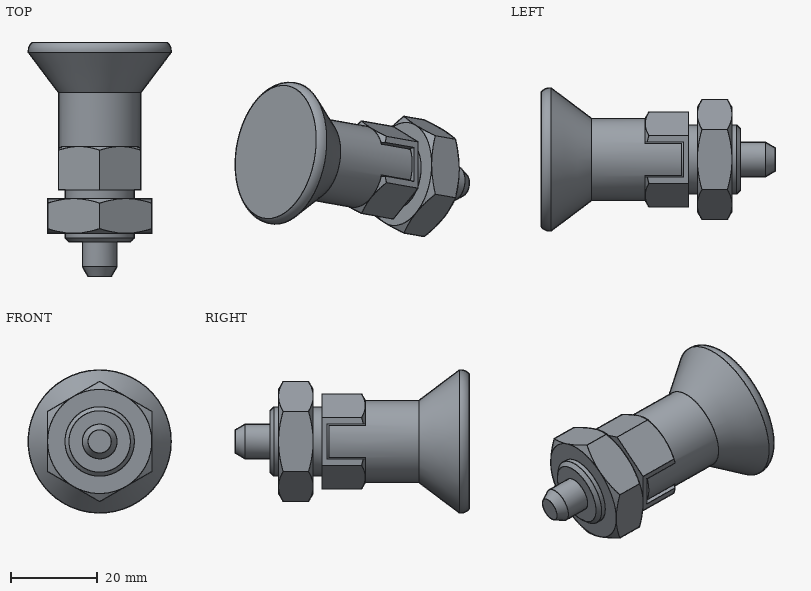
import cadquery as cq
import math


PIN_DIAMETER = 8.0
PIN_LENGTH = 8.0
PIN_TAPER_LENGTH = 2.3
PIN_TAPER_ANGLE = 30.0

SLEEVE_DIAMETER = 16.0
SLEEVE_LENGTH = 12.0
SLEEVE_CHAMFER = 0.92

NUT_ACROSS_FLATS = 24.0
NUT_HEIGHT = 8.0
NUT_START = 2.0

COLLAR_ACROSS_FLATS = 19.0
COLLAR_HEIGHT = 10.0
HEX_CHAMFER_ANGLE = 30.0
HEX_SIDES = 6
HEX_HALF_ANGLE = 180 / HEX_SIDES

SLOT_WIDTH = 8.0
SLOT_LENGTH = 8.8
TONGUE_SIDE_GAP = 0.35
TONGUE_END_GAP = 0.5

KNOB_DIAMETER = 33.0
BARREL_DIAMETER = COLLAR_ACROSS_FLATS
BARREL_LENGTH = 12.4
CONE_LENGTH = 9.3
RIM_BAND = 0.3
RIM_ROUND_HEIGHT = 2.0
RIM_ROUND_RADIUS = 2.5

COLLAR_START = SLEEVE_LENGTH
COLLAR_END = COLLAR_START + COLLAR_HEIGHT
BARREL_END = COLLAR_END + BARREL_LENGTH
CONE_END = BARREL_END + CONE_LENGTH


def along_y(start):
    """Workplane at Y = start whose extrusions run toward +Y."""
    return cq.Workplane(cq.Plane(origin=(0, start, 0), xDir=(1, 0, 0), normal=(0, 1, 0)))


def cylinder(diameter, start, length):
    return along_y(start).circle(diameter / 2).extrude(length)


def revolve_about_y(profile):
    return profile.close().revolve(360, (0, 0, 0), (0, 1, 0))


def chamfered_hexagon(across_flats, start, height, chamfer_start):
    """Hexagonal prism with flats facing +X and -X and conical corner chamfers."""
    flat_radius = across_flats / 2
    corner_radius = flat_radius / math.cos(math.radians(HEX_HALF_ANGLE))
    chamfer = (corner_radius - flat_radius) * math.tan(math.radians(HEX_CHAMFER_ANGLE))
    outline = along_y(start).transformed(rotate=(0, 0, HEX_HALF_ANGLE)).polygon(HEX_SIDES, 2 * corner_radius)
    prism = outline.extrude(height)
    end = start + height
    envelope = cq.Workplane("XY").moveTo(0, start)
    if chamfer_start:
        envelope = envelope.lineTo(flat_radius, start).lineTo(corner_radius, start + chamfer)
    else:
        envelope = envelope.lineTo(corner_radius, start)
    envelope = envelope.lineTo(corner_radius, end - chamfer).lineTo(flat_radius, end).lineTo(0, end)
    return prism.intersect(revolve_about_y(envelope))


def make_pin():
    radius = PIN_DIAMETER / 2
    tip_radius = radius - PIN_TAPER_LENGTH * math.tan(math.radians(PIN_TAPER_ANGLE))
    profile = (
        cq.Workplane("XY")
        .moveTo(0, -PIN_LENGTH)
        .lineTo(tip_radius, -PIN_LENGTH)
        .lineTo(radius, PIN_TAPER_LENGTH - PIN_LENGTH)
        .lineTo(radius, SLEEVE_LENGTH)
        .lineTo(0, SLEEVE_LENGTH)
    )
    return revolve_about_y(profile)


def make_sleeve():
    """Sleeve that also runs on as the core of the slotted collar."""
    sleeve = cylinder(SLEEVE_DIAMETER, 0, COLLAR_END)
    return sleeve.faces("<Y").chamfer(SLEEVE_CHAMFER)


def box_through_x(width, start, length):
    """Box centred on the axis and wider in X than the collar."""
    through = 2 * COLLAR_ACROSS_FLATS
    return cq.Workplane("XY").box(through, length, width).translate((0, start + length / 2, 0))


def make_collar():
    collar = chamfered_hexagon(COLLAR_ACROSS_FLATS, COLLAR_START, COLLAR_HEIGHT, chamfer_start=False)
    return collar.cut(box_through_x(SLOT_WIDTH, COLLAR_END - SLOT_LENGTH, SLOT_LENGTH))


def make_tongues():
    length = SLOT_LENGTH - TONGUE_END_GAP
    start = COLLAR_END - length
    band = box_through_x(SLOT_WIDTH - 2 * TONGUE_SIDE_GAP, start, length)
    return cylinder(BARREL_DIAMETER, start, length).intersect(band)


def make_knob():
    barrel_radius = BARREL_DIAMETER / 2
    knob_radius = KNOB_DIAMETER / 2
    rim_start = CONE_END + RIM_BAND
    knob_end = rim_start + RIM_ROUND_HEIGHT
    round_centre = knob_radius - RIM_ROUND_RADIUS
    round_angle = math.asin(RIM_ROUND_HEIGHT / RIM_ROUND_RADIUS)
    round_middle = (
        round_centre + RIM_ROUND_RADIUS * math.cos(round_angle / 2),
        rim_start + RIM_ROUND_RADIUS * math.sin(round_angle / 2),
    )
    round_end = (round_centre + RIM_ROUND_RADIUS * math.cos(round_angle), knob_end)
    profile = (
        cq.Workplane("XY")
        .moveTo(0, COLLAR_END)
        .lineTo(barrel_radius, COLLAR_END)
        .lineTo(barrel_radius, BARREL_END)
        .lineTo(knob_radius, CONE_END)
        .lineTo(knob_radius, rim_start)
        .threePointArc(round_middle, round_end)
        .lineTo(0, knob_end)
    )
    return revolve_about_y(profile)


nut = chamfered_hexagon(NUT_ACROSS_FLATS, NUT_START, NUT_HEIGHT, chamfer_start=True)

result = (
    make_sleeve()
    .union(make_pin())
    .union(nut)
    .union(make_collar())
    .union(make_tongues())
    .union(make_knob())
)